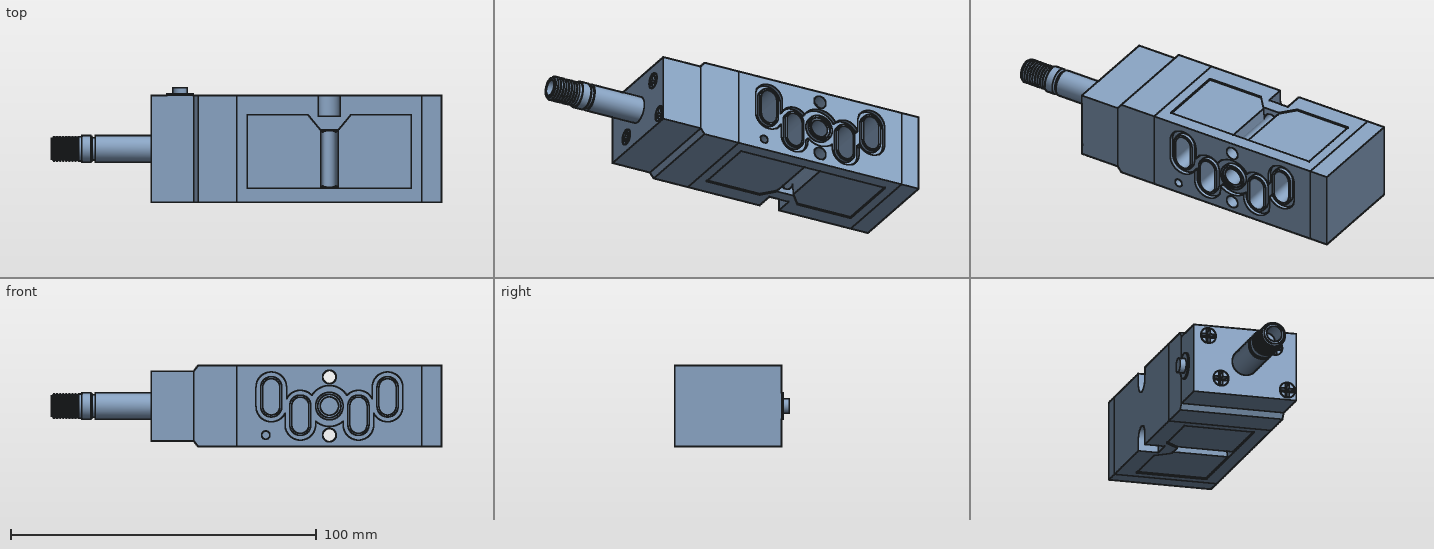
import cadquery as cq
import math

DEPTH = 35.0
HEIGHT = 26.5
FRONT = -DEPTH / 2
BACK = DEPTH / 2
TOP = HEIGHT / 2

BODY_LENGTH = 60.5
CAP_LENGTH = 6.4
ADAPTER_LENGTH = 14.1
PILOT_LENGTH = 13.9
TUBE_LENGTH = 32.6

BODY_LEFT = -BODY_LENGTH / 2
BODY_RIGHT = BODY_LENGTH / 2
ADAPTER_LEFT = BODY_LEFT - ADAPTER_LENGTH
PILOT_LEFT = ADAPTER_LEFT - PILOT_LENGTH
TUBE_LEFT = PILOT_LEFT - TUBE_LENGTH

PORT_LENGTH = 11.9
PORT_WIDTH = 5.6
PORT_DEPTH = 15.0
PORT_RIM = 0.65
GROOVE_MARGIN = 1.55
GROOVE_DEPTH = 1.5
OUTER_PORT_X = 19.0
OUTER_PORT_Z = 3.0
INNER_PORT_X = OUTER_PORT_X / 2
INNER_PORT_Z = -OUTER_PORT_Z
PORTS = [
    (-OUTER_PORT_X, OUTER_PORT_Z),
    (-INNER_PORT_X, INNER_PORT_Z),
    (INNER_PORT_X, INNER_PORT_Z),
    (OUTER_PORT_X, OUTER_PORT_Z),
]
SUPPLY_RADIUS = 3.0
SUPPLY_MOUTH_RADIUS = 3.8
SUPPLY_MOUTH_DEPTH = 0.5
SUPPLY_RIM_RADIUS = 4.5
SUPPLY_GROOVE_RADIUS = 6.7

MOUNT_HOLE_Z = 9.5
MOUNT_HOLE_DIAMETER = 4.3
MOUNT_HEAD_DIAMETER = 7.2
MOUNT_HEAD_DEPTH = 6.8
LOCATING_HOLE_X = -20.8
LOCATING_HOLE_DIAMETER = 2.7
LOCATING_HOLE_DEPTH = 5.0

POCKET_DEPTH = 0.5
POCKET_HALF_LENGTH = 26.8
POCKET_FRONT = -12.8
POCKET_BACK = 11.1
TONGUE_BASE = 7.0
TONGUE_TIP = 2.95
TONGUE_TIP_Y = 6.2
SLOT_WIDTH = 5.8

PILOT_HEIGHT = 22.9
CHAMFER_HEIGHT = (HEIGHT - PILOT_HEIGHT) / 2
CHAMFER_LENGTH = 1.4

SCREW_CENTRE_Y = -1.0
SCREW_POINTS = [
    (SCREW_CENTRE_Y + 13.5, 8.1),
    (SCREW_CENTRE_Y - 13.5, -8.1),
    (SCREW_CENTRE_Y - 9.2, 6.1),
    (SCREW_CENTRE_Y + 9.2, -6.1),
]
SCREW_RADIUS = 2.6
SCREW_SINK = 0.2
CROSS_LENGTH = 4.6
CROSS_WIDTH = 1.4
CROSS_DEPTH = 1.5
CROSS_DRAFT = 15.0

BUTTON_X = ADAPTER_LEFT - 4.5
BUTTON_RADIUS = 2.4
BUTTON_HEIGHT = 2.5
BUTTON_FLANGE_RADIUS = 4.3
BUTTON_FLANGE_HEIGHT = 0.5

TUBE_RADIUS = 4.4
MAIN_TUBE_LENGTH = 18.3
NECK_RADIUS = 3.7
NECK_LENGTH = 0.9
COLLAR_LENGTH = 3.5
COLLAR_CHAMFER = 0.6
THREAD_RADIUS = 4.0
THREAD_ROOT_RADIUS = 3.4
THREAD_PITCH = 1.0
THREAD_CRESTS = 8
THREAD_CREST_WIDTH = 0.1
THREAD_LEAD = 0.35
BORE_RADIUS = 2.6
BORE_DEPTH = 8.0


def block(x_start, length, height):
    """Full-depth box starting at x_start and centred on the pilot axis."""
    return cq.Workplane("XY").box(length, DEPTH, height).translate((x_start + length / 2, 0, 0))


def from_front():
    """Workplane on the port face; +X right, +Z up, negative extrusions run inwards."""
    return cq.Workplane("XZ", origin=(0, FRONT, 0))


def port_slots(growth, depth):
    """The four oval ports, widened all round by growth and cut to depth."""
    return (
        from_front()
        .pushPoints(PORTS)
        .slot2D(PORT_LENGTH + 2 * growth, PORT_WIDTH + 2 * growth, 90)
        .extrude(-depth)
    )


def front_cylinder(radius, depth):
    """Cylinder around the round port, running inwards from the port face."""
    return from_front().circle(radius).extrude(-depth)


def gasket_groove():
    """One groove around all five ports, leaving a thin rim standing at each port."""
    outline = port_slots(PORT_RIM + GROOVE_MARGIN, GROOVE_DEPTH)
    outline = outline.union(front_cylinder(SUPPLY_GROOVE_RADIUS, GROOVE_DEPTH))
    rims = port_slots(PORT_RIM, GROOVE_DEPTH)
    rims = rims.union(front_cylinder(SUPPLY_RIM_RADIUS, GROOVE_DEPTH))
    return outline.cut(rims)


def supply_port():
    """Round port with a counterbored mouth."""
    return front_cylinder(SUPPLY_RADIUS, PORT_DEPTH).union(
        front_cylinder(SUPPLY_MOUTH_RADIUS, SUPPLY_MOUTH_DEPTH)
    )


def top_pocket():
    """Shallow pocket in the top face with a slot that opens into the upper mounting hole."""
    pocket = (
        cq.Workplane("XY", origin=(0, 0, TOP - POCKET_DEPTH))
        .polyline([
            (-POCKET_HALF_LENGTH, POCKET_FRONT),
            (POCKET_HALF_LENGTH, POCKET_FRONT),
            (POCKET_HALF_LENGTH, POCKET_BACK),
            (TONGUE_BASE, POCKET_BACK),
            (TONGUE_TIP, TONGUE_TIP_Y),
            (-TONGUE_TIP, TONGUE_TIP_Y),
            (-TONGUE_BASE, POCKET_BACK),
            (-POCKET_HALF_LENGTH, POCKET_BACK),
        ])
        .close()
        .extrude(POCKET_DEPTH)
    )
    slot_length = TONGUE_TIP_Y - POCKET_FRONT
    slot_depth = TOP - POCKET_DEPTH - MOUNT_HOLE_Z
    slot_draft = math.degrees(math.atan((SLOT_WIDTH - MOUNT_HOLE_DIAMETER) / 2 / slot_depth))
    slot = (
        cq.Workplane("XY", origin=(0, TONGUE_TIP_Y - slot_length / 2, TOP - POCKET_DEPTH))
        .rect(SLOT_WIDTH, slot_length)
        .extrude(-slot_depth, taper=slot_draft)
    )
    return pocket.union(slot)


def screw_head_seat():
    """Counterbore at the back of the upper mounting hole, open through the top face."""
    y_start = BACK - MOUNT_HEAD_DEPTH
    seat = (
        cq.Workplane("XZ", origin=(0, y_start, 0))
        .center(0, MOUNT_HOLE_Z)
        .circle(MOUNT_HEAD_DIAMETER / 2)
        .extrude(-MOUNT_HEAD_DEPTH)
    )
    opening_height = TOP - MOUNT_HOLE_Z
    opening = cq.Workplane("XY").box(MOUNT_HEAD_DIAMETER, MOUNT_HEAD_DEPTH, opening_height)
    return seat.union(
        opening.translate((0, y_start + MOUNT_HEAD_DEPTH / 2, MOUNT_HOLE_Z + opening_height / 2))
    )


def make_valve_body():
    """Ported block; pockets and screw seats repeat on the top and bottom faces."""
    body = block(BODY_LEFT, BODY_LENGTH, HEIGHT)
    body = body.cut(gasket_groove())
    body = body.cut(port_slots(0, PORT_DEPTH))
    body = body.cut(supply_port())
    mount_holes = (
        from_front()
        .pushPoints([(0, MOUNT_HOLE_Z), (0, -MOUNT_HOLE_Z)])
        .circle(MOUNT_HOLE_DIAMETER / 2)
        .extrude(-DEPTH)
    )
    body = body.cut(mount_holes)
    for feature in (top_pocket(), screw_head_seat()):
        body = body.cut(feature)
        body = body.cut(feature.mirror("XY"))
    locating_hole = (
        from_front()
        .center(LOCATING_HOLE_X, -MOUNT_HOLE_Z)
        .circle(LOCATING_HOLE_DIAMETER / 2)
        .extrude(-LOCATING_HOLE_DEPTH)
    )
    return body.cut(locating_hole)


def make_end_cap():
    """Plain block closing the right end of the valve body."""
    return block(BODY_RIGHT, CAP_LENGTH, HEIGHT)


def make_adapter():
    """Block whose pilot end is bevelled down to the height of the pilot."""
    return (
        block(ADAPTER_LEFT, ADAPTER_LENGTH, HEIGHT)
        .faces("<X")
        .edges("|Y")
        .chamfer(CHAMFER_HEIGHT, CHAMFER_LENGTH)
    )


def armature_tube():
    """Revolved tube with collar and ringed thread, bored from its free end."""
    collar_right = PILOT_LEFT - MAIN_TUBE_LENGTH - NECK_LENGTH
    collar_left = collar_right - COLLAR_LENGTH
    thread_left = TUBE_LEFT + THREAD_LEAD
    profile = (
        cq.Workplane("XY")
        .moveTo(PILOT_LEFT, 0)
        .lineTo(PILOT_LEFT, TUBE_RADIUS)
        .lineTo(collar_right + NECK_LENGTH, TUBE_RADIUS)
        .lineTo(collar_right + NECK_LENGTH, NECK_RADIUS)
        .lineTo(collar_right, NECK_RADIUS)
        .lineTo(collar_right - COLLAR_CHAMFER, TUBE_RADIUS)
        .lineTo(collar_left, TUBE_RADIUS)
        .lineTo(collar_left, THREAD_RADIUS)
        .lineTo(thread_left + (THREAD_CRESTS + 0.5) * THREAD_PITCH, THREAD_RADIUS)
    )
    for crest in reversed(range(THREAD_CRESTS)):
        root_x = thread_left + (crest + 1) * THREAD_PITCH
        crest_x = root_x - THREAD_PITCH / 2
        profile = (
            profile
            .lineTo(root_x, THREAD_ROOT_RADIUS)
            .lineTo(crest_x + THREAD_CREST_WIDTH / 2, THREAD_RADIUS)
            .lineTo(crest_x - THREAD_CREST_WIDTH / 2, THREAD_RADIUS)
        )
    tube = (
        profile
        .lineTo(thread_left, THREAD_ROOT_RADIUS)
        .lineTo(TUBE_LEFT, THREAD_ROOT_RADIUS)
        .lineTo(TUBE_LEFT, 0)
        .close()
        .revolve(360, (0, 0, 0), (1, 0, 0))
    )
    bore = cq.Workplane("YZ", origin=(TUBE_LEFT, 0, 0)).circle(BORE_RADIUS).extrude(BORE_DEPTH)
    return tube.cut(bore)


def screw_recess(y, z):
    """Sunken screw head with a cross recess."""
    face = cq.Workplane("YZ", origin=(PILOT_LEFT, y, z))
    recess = face.circle(SCREW_RADIUS).extrude(SCREW_SINK)
    for arm in ((CROSS_LENGTH, CROSS_WIDTH), (CROSS_WIDTH, CROSS_LENGTH)):
        recess = recess.union(face.rect(*arm).extrude(SCREW_SINK + CROSS_DEPTH, taper=CROSS_DRAFT))
    return recess


def manual_override():
    """Push button on the back face of the pilot."""
    back_face = cq.Workplane("XZ", origin=(BUTTON_X, BACK, 0))
    flange = back_face.circle(BUTTON_FLANGE_RADIUS).extrude(-BUTTON_FLANGE_HEIGHT)
    return flange.union(back_face.circle(BUTTON_RADIUS).extrude(-BUTTON_HEIGHT))


def make_pilot():
    """Pilot block with its armature tube, push button and four screw recesses."""
    pilot = block(PILOT_LEFT, PILOT_LENGTH, PILOT_HEIGHT)
    pilot = pilot.union(armature_tube())
    pilot = pilot.union(manual_override())
    for y, z in SCREW_POINTS:
        pilot = pilot.cut(screw_recess(y, z))
    return pilot


valve_body = make_valve_body()
end_cap = make_end_cap()
adapter = make_adapter()
pilot = make_pilot()

result = cq.Compound.makeCompound([valve_body.val(), end_cap.val(), adapter.val(), pilot.val()])